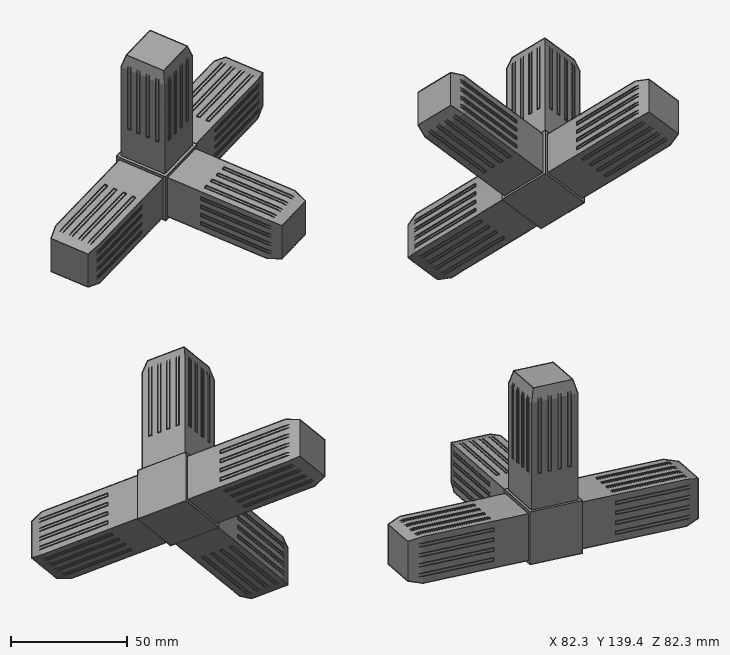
import cadquery as cq

HUB_SIZE = 25.1

ARM_REACH = 69.7
ARM_WIDTH = 22.3
TIP_WIDTH = 19.0
TIP_LENGTH = 6.4

GROOVE_COUNT = 4
GROOVE_PITCH = 4.7
GROOVE_WIDTH = 1.5
GROOVE_DEPTH = 0.4
GROOVE_SETBACK = 16.7

TAPER_START = ARM_REACH - TIP_LENGTH
GROOVE_START = HUB_SIZE / 2 + GROOVE_SETBACK
SIDE_ANGLES = (0, 90, 180, 270)


def make_groove_cutters():
    """Bars that cut the grooves on the +X side of an upright arm."""
    bar_length = ARM_REACH - GROOVE_START
    return (
        cq.Workplane("XY")
        .workplane(offset=GROOVE_START)
        .center(ARM_WIDTH / 2, 0)
        .rarray(1.4, GROOVE_PITCH, 1, GROOVE_COUNT)
        .rect(2 * GROOVE_DEPTH, GROOVE_WIDTH)
        .extrude(bar_length)
    )


def make_arm():
    """An upright arm from the hub centre to its tip along +Z."""
    shaft = cq.Workplane("XY").rect(ARM_WIDTH, ARM_WIDTH).extrude(TAPER_START)
    tip = (
        cq.Workplane("XY")
        .workplane(offset=TAPER_START)
        .rect(ARM_WIDTH, ARM_WIDTH)
        .workplane(offset=TIP_LENGTH)
        .rect(TIP_WIDTH, TIP_WIDTH)
        .loft(ruled=True)
    )
    arm = shaft.union(tip)
    cutters = make_groove_cutters()
    for angle in SIDE_ANGLES:
        arm = arm.cut(cutters.rotate((0, 0, 0), (0, 0, 1), angle))
    return arm


arm_up = make_arm()
arm_right = arm_up.rotate((0, 0, 0), (0, 1, 0), 90)
arm_front = arm_up.rotate((0, 0, 0), (1, 0, 0), 90)
arm_back = arm_up.rotate((0, 0, 0), (1, 0, 0), -90)

result = cq.Workplane("XY").box(HUB_SIZE, HUB_SIZE, HUB_SIZE)
for arm in (arm_up, arm_right, arm_front, arm_back):
    result = result.union(arm)